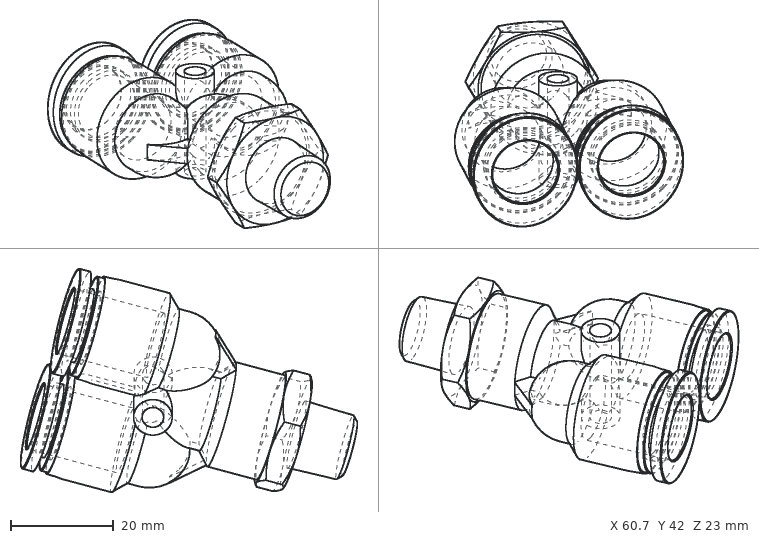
import cadquery as cq
import math


total_length = 60.7

branch_diameter = 21.0
branch_radius = branch_diameter / 2
branch_offset = branch_radius
collar_start = 3.7
collar_end = 5.1
collar_radius = 20.0 / 2
collar_edge_chamfer = 0.2
taper_start_radius = 10.3
taper_end = 8.3
shoulder_start = 18.3
shoulder_end = 20.8
dome_center_x = 23.2
dome_radius = 8.0

stem_sphere_x = 28.9
stem_cone_start = 32.35
stem_cone_end = 34.65
stem_radius = 10.55

web_thickness = 3.2
boss_x = shoulder_end
boss_diameter = 7.5
boss_hole_diameter = 4.2
boss_height = 21.25

flange_width = 20.75
flange_height = 23.0
flange_thickness = 2.25
flange_chamfer = 0.2
neck_diameter = 14.8
sleeve_end = collar_end
bore_diameter = 13.0
bore_chamfer = 0.25
bore_end = shoulder_start

hex_start = 44.6
hex_end = 49.9
hex_flats = 22.3
hex_chamfer_angle = 30.0
thread_root_radius = 6.8
thread_tip_radius = 13.0 / 2
thread_chamfer = 1.0


def revolve_about_x(outline):
    """Revolve a closed (x, radius) outline about the X axis."""
    return outline.close().revolve(360, (0, 0, 0), (1, 0, 0))


def x_cylinder(diameter, start, end):
    return cq.Workplane("YZ").workplane(offset=start).circle(diameter / 2).extrude(end - start)


def make_branch(y):
    """Tube branch: stepped collar, slight taper, sloped shoulder and domed end."""
    diagonal = dome_radius * math.sqrt(0.5)
    outline = (
        cq.Workplane("XY")
        .moveTo(collar_start, 0)
        .lineTo(collar_start, collar_radius - collar_edge_chamfer)
        .lineTo(collar_start + collar_edge_chamfer, collar_radius)
        .lineTo(collar_end, collar_radius)
        .lineTo(collar_end, taper_start_radius)
        .lineTo(taper_end, branch_radius)
        .lineTo(shoulder_start, branch_radius)
        .lineTo(shoulder_end, dome_radius)
        .lineTo(dome_center_x, dome_radius)
        .threePointArc((dome_center_x + diagonal, diagonal), (dome_center_x + dome_radius, 0))
    )
    return revolve_about_x(outline).translate((0, y, 0))


def make_stem():
    """Stem: rounded inner end, cone and the full-diameter barrel."""
    diagonal = dome_radius * math.sqrt(0.5)
    outline = (
        cq.Workplane("XY")
        .moveTo(stem_sphere_x - dome_radius, 0)
        .threePointArc((stem_sphere_x - diagonal, diagonal), (stem_sphere_x, dome_radius))
        .lineTo(stem_cone_start, dome_radius)
        .lineTo(stem_cone_end, stem_radius)
        .lineTo(hex_start, stem_radius)
        .lineTo(hex_start, 0)
    )
    return revolve_about_x(outline)


def make_webs():
    """Flat plate whose 45-degree edges run from the domes to the stem barrel."""
    tangent_shift = dome_radius * math.sqrt(0.5)
    tangent_x = dome_center_x + tangent_shift
    tangent_y = branch_offset + tangent_shift
    corners = [
        (tangent_x, tangent_y),
        (stem_cone_end, stem_radius),
        (stem_cone_end, -stem_radius),
        (tangent_x, -tangent_y),
    ]
    return cq.Workplane("XY").polyline(corners).close().extrude(web_thickness / 2, both=True)


def make_housing():
    boss = cq.Workplane("XY").center(boss_x, 0).circle(boss_diameter / 2)
    boss = boss.extrude(boss_height / 2, both=True)
    boss_hole = cq.Workplane("XY").center(boss_x, 0).circle(boss_hole_diameter / 2)
    boss_hole = boss_hole.extrude(boss_height, both=True)

    body = make_stem().union(make_webs()).union(boss)
    for side in (-1, 1):
        body = body.union(make_branch(side * branch_offset))
    for side in (-1, 1):
        sleeve_seat = x_cylinder(neck_diameter, collar_start, sleeve_end)
        tube_bore = x_cylinder(bore_diameter, collar_start, bore_end)
        body = body.cut(sleeve_seat.union(tube_bore).translate((0, side * branch_offset, 0)))
    return body.cut(boss_hole)


def make_sleeve(y):
    """Release sleeve: oval flange and a round neck that sits in the housing."""
    flange = cq.Workplane("YZ").ellipse(flange_width / 2, flange_height / 2)
    flange = flange.extrude(flange_thickness).faces("<X").edges().chamfer(flange_chamfer)
    sleeve = flange.union(x_cylinder(neck_diameter, flange_thickness, sleeve_end))
    sleeve = sleeve.cut(x_cylinder(bore_diameter, 0, sleeve_end))
    bore_lip = sleeve.faces("<X").edges("%CIRCLE")
    return bore_lip.chamfer(bore_chamfer).translate((0, y, 0))


def make_stud():
    """Hexagon with both rims chamfered, and the tapered thread body."""
    flat_radius = hex_flats / 2
    corner_radius = flat_radius / math.cos(math.radians(30))
    chamfer_depth = (corner_radius - flat_radius) * math.tan(math.radians(hex_chamfer_angle))
    hexagon = cq.Workplane("YZ").workplane(offset=hex_start).polygon(6, 2 * corner_radius)
    hexagon = hexagon.extrude(hex_end - hex_start)
    chamfer_envelope = revolve_about_x(
        cq.Workplane("XY")
        .moveTo(hex_start, 0)
        .lineTo(hex_start, flat_radius)
        .lineTo(hex_start + chamfer_depth, corner_radius)
        .lineTo(hex_end - chamfer_depth, corner_radius)
        .lineTo(hex_end, flat_radius)
        .lineTo(hex_end, 0)
    )
    thread = revolve_about_x(
        cq.Workplane("XY")
        .moveTo(hex_end, 0)
        .lineTo(hex_end, thread_root_radius)
        .lineTo(total_length - thread_chamfer, thread_tip_radius)
        .lineTo(total_length, thread_tip_radius - thread_chamfer)
        .lineTo(total_length, 0)
    )
    return hexagon.intersect(chamfer_envelope).union(thread)


housing = make_housing()
sleeves = [make_sleeve(side * branch_offset) for side in (-1, 1)]
stud = make_stud()

result = cq.Compound.makeCompound(
    [
        housing.solids().val(),
        *[sleeve.solids().val() for sleeve in sleeves],
        stud.solids().val(),
    ]
)